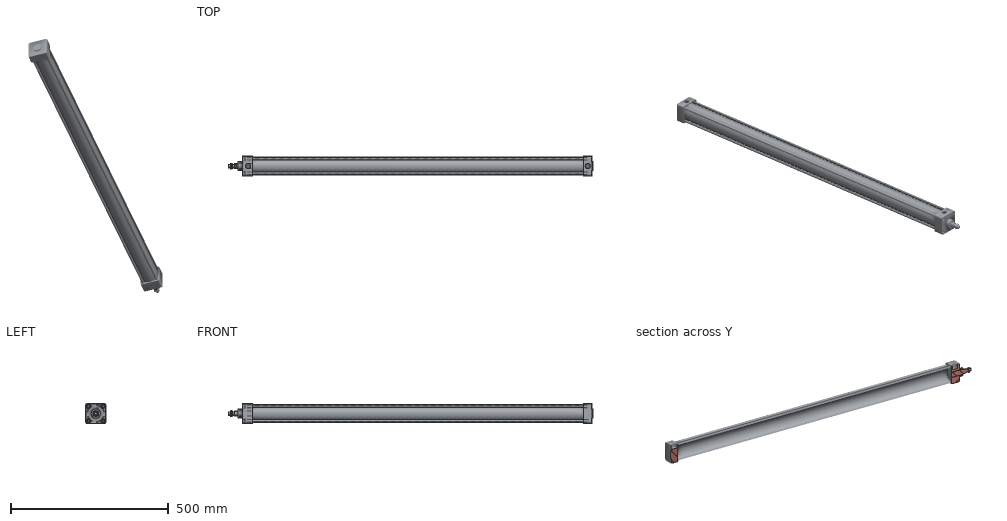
import cadquery as cq

TOTAL_LENGTH = 1156.0
ROD_TIP_X = -TOTAL_LENGTH / 2
REAR_END_X = TOTAL_LENGTH / 2

CAP_SIDE = 64.0
CAP_CORNER_RADIUS = 6.0
FRONT_CAP_X = -534.0
FRONT_CAP_LENGTH = 32.0
REAR_CAP_LENGTH = 27.0
BOSS_DIAMETER = 29.0
FRONT_BOSS_LENGTH = 14.0
REAR_BOSS_LENGTH = 3.0

PORT_DIAMETER = 16.0
PORT_DEPTH = 14.0
FRONT_PORT_X = -515.0

TUBE_DIAMETER = 57.0
TUBE_BORE = 51.0

TIE_ROD_DIAMETER = 8.0
TIE_ROD_DIAGONAL_PITCH = 66.0
TIE_ROD_OFFSET = TIE_ROD_DIAGONAL_PITCH / 2 / 2**0.5
TIE_ROD_REAR_DEPTH = 14.0
TIE_HEAD_DIAMETER = 14.0
TIE_HEAD_LENGTH = 9.0
TIE_SOCKET_DIAMETER = 8.0
TIE_SOCKET_DEPTH = 5.0

ROD_DIAMETER = 16.0
ROD_SHOULDER_X = -559.0
FLATS_WIDTH = 15.0
FLATS_LENGTH = 7.0
THREAD_DIAMETER = 12.0
THREAD_CHAMFER = 0.9

NUT_ACROSS_FLATS = 17.0
NUT_LENGTH = 7.0
NUT_ACROSS_CORNERS = NUT_ACROSS_FLATS * 2 / 3**0.5
NUT_BEVEL = 2.9
NUT_X = -572.0

FRONT_CAP_END_X = FRONT_CAP_X + FRONT_CAP_LENGTH
REAR_FACE_X = REAR_END_X - REAR_BOSS_LENGTH
REAR_CAP_X = REAR_FACE_X - REAR_CAP_LENGTH
REAR_PORT_X = REAR_CAP_X + REAR_CAP_LENGTH / 2
COLLAR_FACE_X = FRONT_CAP_X - FRONT_BOSS_LENGTH
NUT_END_X = NUT_X + NUT_LENGTH
TIE_ROD_CENTERS = [(y * TIE_ROD_OFFSET, z * TIE_ROD_OFFSET) for y in (-1, 1) for z in (-1, 1)]


def x_cylinder(diameter, start, end, center=(0, 0)):
    """Cylinder parallel to X between two X positions, centred on (y, z)."""
    plane = cq.Workplane("YZ", origin=(start, 0, 0))
    return plane.center(*center).circle(diameter / 2).extrude(end - start)


def cap_block(start, length):
    """Square block with rounded lengthwise corners."""
    block = cq.Workplane("YZ", origin=(start, 0, 0)).rect(CAP_SIDE, CAP_SIDE).extrude(length)
    return block.edges("|X").fillet(CAP_CORNER_RADIUS)


def port(x):
    """Cutter for a blind round port in the top face of a cap."""
    top = cq.Workplane("XY", origin=(x, 0, CAP_SIDE / 2))
    return top.circle(PORT_DIAMETER / 2).extrude(-PORT_DEPTH)


def tie_rod_envelope(center):
    """Round bar with a cylindrical head flush with the front face of the front cap."""
    head_end = FRONT_CAP_X + TIE_HEAD_LENGTH
    bar = x_cylinder(TIE_ROD_DIAMETER, head_end, REAR_CAP_X + TIE_ROD_REAR_DEPTH, center)
    return bar.union(x_cylinder(TIE_HEAD_DIAMETER, FRONT_CAP_X, head_end, center))


def make_tie_rod(center):
    """Tie rod with a blind round socket in its head."""
    socket = x_cylinder(TIE_SOCKET_DIAMETER, FRONT_CAP_X, FRONT_CAP_X + TIE_SOCKET_DEPTH, center)
    return tie_rod_envelope(center).cut(socket)


def make_front_cap():
    """Front cap with a collar, bored through for the piston rod."""
    cap = cap_block(FRONT_CAP_X, FRONT_CAP_LENGTH)
    cap = cap.union(x_cylinder(BOSS_DIAMETER, COLLAR_FACE_X, FRONT_CAP_X))
    cap = cap.cut(x_cylinder(ROD_DIAMETER, COLLAR_FACE_X, FRONT_CAP_END_X))
    cap = cap.cut(port(FRONT_PORT_X))
    for center in TIE_ROD_CENTERS:
        cap = cap.cut(tie_rod_envelope(center))
    return cap


def make_rear_cap():
    """Rear cap with a low round boss on its end face."""
    cap = cap_block(REAR_CAP_X, REAR_CAP_LENGTH)
    cap = cap.union(x_cylinder(BOSS_DIAMETER, REAR_FACE_X, REAR_END_X))
    cap = cap.cut(port(REAR_PORT_X))
    for center in TIE_ROD_CENTERS:
        cap = cap.cut(tie_rod_envelope(center))
    return cap


def make_tube():
    """Plain barrel held between the two caps."""
    outer = x_cylinder(TUBE_DIAMETER, FRONT_CAP_END_X, REAR_CAP_X)
    return outer.cut(x_cylinder(TUBE_BORE, FRONT_CAP_END_X, REAR_CAP_X))


def make_piston_rod():
    """Rod with wrench flats above and below and a chamfered threaded end."""
    rod = x_cylinder(ROD_DIAMETER, ROD_SHOULDER_X, FRONT_CAP_END_X)
    waste = cq.Workplane("XY").box(FLATS_LENGTH, ROD_DIAMETER, ROD_DIAMETER)
    waste_x = ROD_SHOULDER_X + FLATS_LENGTH / 2
    waste_z = (FLATS_WIDTH + ROD_DIAMETER) / 2
    for side in (-1, 1):
        rod = rod.cut(waste.translate((waste_x, 0, side * waste_z)))
    thread = x_cylinder(THREAD_DIAMETER, ROD_TIP_X, ROD_SHOULDER_X)
    return rod.union(thread.faces("<X").chamfer(THREAD_CHAMFER))


def make_nut():
    """Hexagonal nut with flats facing +Z and -Z and its corners bevelled at both ends."""
    hexagon = cq.Workplane("YZ", origin=(NUT_X, 0, 0)).polygon(6, NUT_ACROSS_FLATS, circumscribed=True)
    bevelled = x_cylinder(NUT_ACROSS_CORNERS, NUT_X, NUT_END_X).edges().chamfer(NUT_BEVEL)
    nut = hexagon.extrude(NUT_LENGTH).intersect(bevelled)
    return nut.cut(x_cylinder(THREAD_DIAMETER, NUT_X, NUT_END_X))


front_cap = make_front_cap()
rear_cap = make_rear_cap()
tube = make_tube()
piston_rod = make_piston_rod()
nut = make_nut()
tie_rods = [make_tie_rod(center) for center in TIE_ROD_CENTERS]

result = cq.Compound.makeCompound(
    [body.val() for body in (front_cap, rear_cap, tube, piston_rod, nut, *tie_rods)]
)